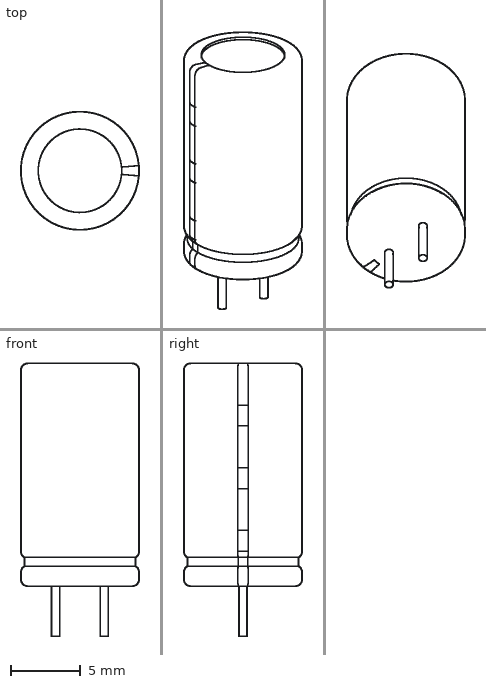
import cadquery as cq
import math

total_height = 19.6
can_diameter = 8.5
can_height = 16.01
can_radius = can_diameter / 2
can_bottom = total_height - can_height

rim_radius = 0.5
groove_start = 1.0
groove_end = 2.5
groove_depth = 0.25

cover_diameter = 6.0
cover_thickness = 0.2
cover_sink = 0.2

stripe_angle = 10.0
bar_count = 3
bar_depth = 0.1
bar_share = 1 / 3

lead_diameter = 0.6
lead_pitch = 3.49

half_stripe = stripe_angle / 2
cover_radius = cover_diameter / 2
seat_depth = cover_sink + cover_thickness
bar_pitch = (can_height - groove_end) / bar_count
bar_height = bar_pitch * bar_share


def rim_point(centre_height, angle):
    """Point (radius, height) of a rim arc; the angle is in degrees above the outward direction."""
    turn = math.radians(angle)
    return (
        can_radius - rim_radius + rim_radius * math.cos(turn),
        centre_height + rim_radius * math.sin(turn),
    )


def wall_sector(start_angle, sweep):
    """Can wall outside the cover radius, turned about Z from a start angle through a sweep."""
    low_rim = can_bottom + rim_radius
    groove_low_rim = can_bottom + groove_start
    groove_high_rim = can_bottom + groove_end
    high_rim = total_height - rim_radius
    groove_angle = math.degrees(math.acos(1 - groove_depth / rim_radius))
    return (
        cq.Workplane("XZ")
        .moveTo(cover_radius, can_bottom)
        .lineTo(*rim_point(low_rim, -90))
        .threePointArc(rim_point(low_rim, -45), rim_point(low_rim, 0))
        .lineTo(*rim_point(groove_low_rim, 0))
        .threePointArc(rim_point(groove_low_rim, groove_angle / 2), rim_point(groove_low_rim, groove_angle))
        .lineTo(*rim_point(groove_high_rim, -groove_angle))
        .threePointArc(rim_point(groove_high_rim, -groove_angle / 2), rim_point(groove_high_rim, 0))
        .lineTo(*rim_point(high_rim, 0))
        .threePointArc(rim_point(high_rim, 45), rim_point(high_rim, 90))
        .lineTo(cover_radius, total_height)
        .close()
        .revolve(sweep, (0, 0, 0), (0, 1, 0))
        .rotate((0, 0, 0), (0, 0, 1), start_angle)
    )


def cylinder(diameter, bottom, height):
    """Upright cylinder on the Z axis."""
    return cq.Workplane("XY").workplane(offset=bottom).circle(diameter / 2).extrude(height)


def make_can():
    """Can with the stripe's share of the wall left out and a seat for the cover in its top."""
    core = cylinder(cover_diameter, can_bottom, can_height - seat_depth)
    return wall_sector(half_stripe, 360 - stripe_angle).union(core)


def make_bar(index):
    """Inlaid bar at the lower end of its share of the wall above the groove."""
    bottom = can_bottom + groove_end + index * bar_pitch
    return (
        cq.Workplane("XZ")
        .moveTo(can_radius - bar_depth, bottom)
        .lineTo(can_radius, bottom)
        .lineTo(can_radius, bottom + bar_height)
        .lineTo(can_radius - bar_depth, bottom + bar_height)
        .close()
        .revolve(stripe_angle, (0, 0, 0), (0, 1, 0))
        .rotate((0, 0, 0), (0, 0, 1), -half_stripe)
    )


def make_stripe(inlays):
    """Striped sector of the wall, with a recess for each inlaid bar."""
    stripe = wall_sector(-half_stripe, stripe_angle)
    for inlay in inlays:
        stripe = stripe.cut(inlay)
    return stripe


def make_lead(side):
    """Straight lead under the can; side is -1 or 1 along X."""
    return cylinder(lead_diameter, 0, can_bottom).translate((side * lead_pitch / 2, 0, 0))


can = make_can()
bars = [make_bar(index) for index in range(bar_count)]
stripe = make_stripe(bars)
cover = cylinder(cover_diameter, total_height - seat_depth, cover_thickness)
leads = [make_lead(side) for side in (-1, 1)]

result = cq.Compound.makeCompound(
    [can.val(), stripe.val(), cover.val(), *[bar.val() for bar in bars], *[lead.val() for lead in leads]]
)